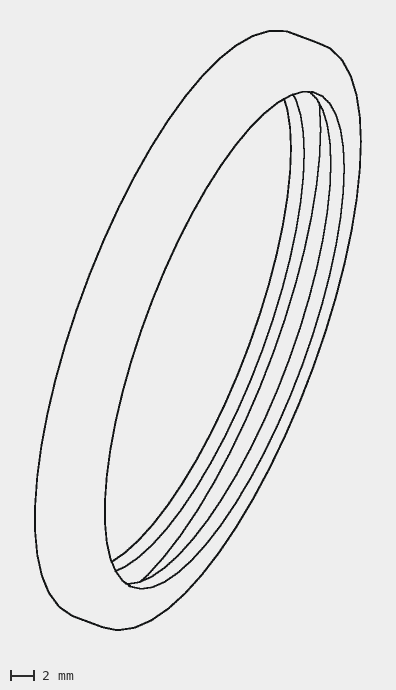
import cadquery as cq

outer_diameter = 52.0
bore_diameter = 44.0
width = 5.0
edge_radius = 1.2

groove_diameter = 50.0
groove_width = 2.5


def disc(diameter, thickness):
    """Disc around the X axis, centred on the origin."""
    return cq.Workplane("YZ", origin=(-thickness / 2, 0, 0)).circle(diameter / 2).extrude(thickness)


body = disc(outer_diameter, width).edges("%CIRCLE").fillet(edge_radius)
bore = disc(bore_diameter, width)
groove = disc(groove_diameter, groove_width)

result = body.cut(bore).cut(groove)